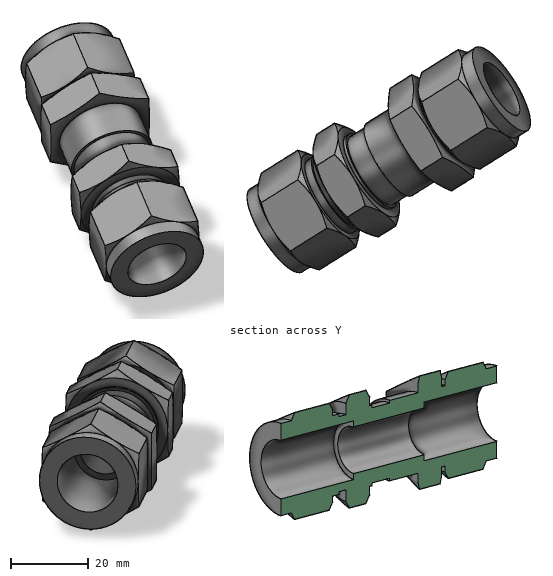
import cadquery as cq
import math

length = 72.65

nut_flats = 25.4
nut_sleeve_length = 3.5
nut_hex_length = 14.0
nut_sleeve_diameter = nut_flats

body_flats = 26.95
body_hex_length = 8.1
body_hex_start = 18.45
jam_nut_start = 42.7
steep_chamfer_angle = 15.0
chamfer_angle = 30.0
hex_sides = 6

thread_diameter = 22.2
neck_diameter = 20.8
neck_start = 36.1
jam_nut_collar_start = 41.9
outer_neck_start = jam_nut_start + body_hex_length
outer_neck_end = 53.0

bore_diameter = 12.7
socket_diameter = 16.0
socket_depth = 24.4


def cylinder(start, end, diameter):
    """Round bar along X between two stations."""
    return cq.Workplane("YZ", origin=(start, 0, 0)).circle(diameter / 2).extrude(end - start)


def chamfered_hex(start, end, flats, angle):
    """Hexagon along X, corners on +Z and -Z, with conical chamfers starting at the flats."""
    flat_radius = flats / 2
    corner_radius = flat_radius / math.cos(math.pi / hex_sides)
    chamfer_length = (corner_radius - flat_radius) * math.tan(math.radians(angle))
    prism = (
        cq.Workplane("YZ", origin=(start, 0, 0))
        .polygon(hex_sides, 2 * corner_radius)
        .extrude(end - start)
        .rotate((0, 0, 0), (1, 0, 0), 90)
    )
    envelope = (
        cq.Workplane("XY")
        .moveTo(start, 0)
        .lineTo(start, flat_radius)
        .lineTo(start + chamfer_length, corner_radius)
        .lineTo(end - chamfer_length, corner_radius)
        .lineTo(end, flat_radius)
        .lineTo(end, 0)
        .close()
        .revolve(360, (0, 0, 0), (1, 0, 0))
    )
    return prism.intersect(envelope)


def round_body():
    """Threaded core running between the outer ends of both nuts."""
    core = cylinder(0, length, neck_diameter)
    for start, end in (
        (0, neck_start),
        (jam_nut_collar_start, outer_neck_start),
        (outer_neck_end, length),
    ):
        core = core.union(cylinder(start, end, thread_diameter))
    return core


def tube_nut():
    """Nut at the X = 0 end: round sleeve, then the hexagon."""
    sleeve = cylinder(0, nut_sleeve_length, nut_sleeve_diameter)
    hexagon = chamfered_hex(
        nut_sleeve_length, nut_sleeve_length + nut_hex_length, nut_flats, chamfer_angle
    )
    return sleeve.union(hexagon)


near_nut = tube_nut()
far_nut = near_nut.rotate((length / 2, 0, 0), (length / 2, 0, 1), 180)
body_hex = chamfered_hex(
    body_hex_start, body_hex_start + body_hex_length, body_flats, steep_chamfer_angle
)
jam_nut = chamfered_hex(
    jam_nut_start, jam_nut_start + body_hex_length, body_flats, chamfer_angle
)

result = round_body().union(near_nut).union(far_nut).union(body_hex).union(jam_nut)

result = result.cut(cylinder(0, length, bore_diameter))
for start in (0, length - socket_depth):
    result = result.cut(cylinder(start, start + socket_depth, socket_diameter))